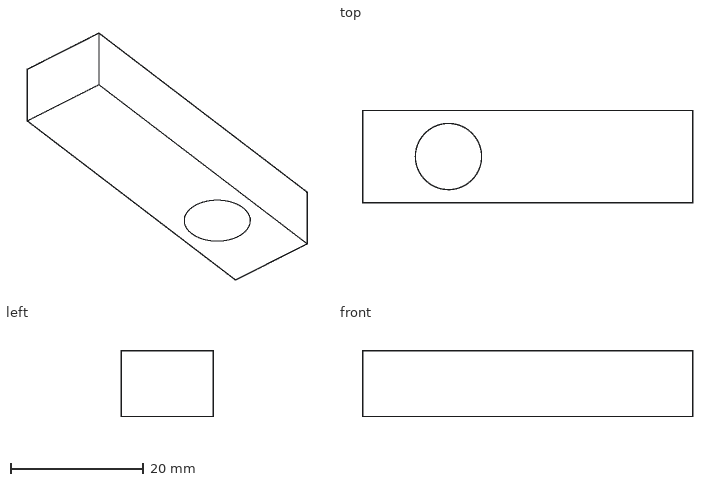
import cadquery as cq

length = 50.0
width = 14.0
height = 10.0

hole_diameter = 10.0
hole_from_end = 13.0


def make_bar():
    """Rectangular bar centred on the origin."""
    return cq.Workplane("XY").box(length, width, height)


def drill_hole(bar):
    """Vertical through hole near the -X end."""
    hole_x = hole_from_end - length / 2
    return bar.faces(">Z").workplane(origin=(0, 0, 0)).center(hole_x, 0).hole(hole_diameter)


result = drill_hole(make_bar())